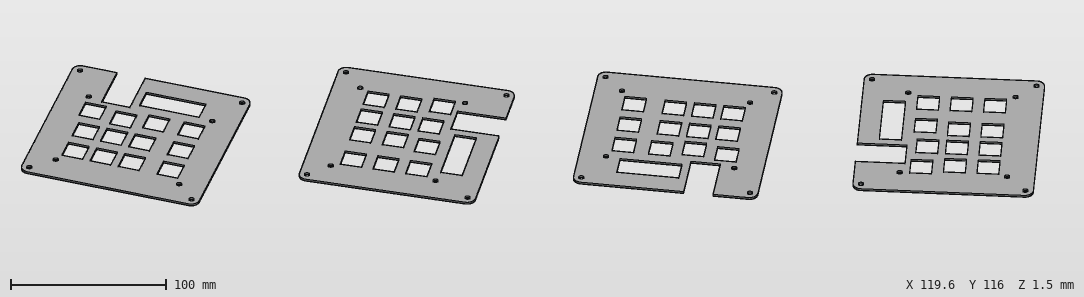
import cadquery as cq

PLATE_LENGTH = 119.6
PLATE_WIDTH = 116.0
PLATE_THICKNESS = 1.5
CORNER_RADIUS = 5.5

HOLE_DIAMETER = 3.3
CORNER_HOLE_INSET = 5.1
INNER_HOLE_LEFT_X = -40.9
INNER_HOLE_RIGHT_X = 42.2
INNER_HOLE_BACK_Y = 28.8
INNER_HOLE_FRONT_Y = -40.2

NOTCH_LEFT_X = -31.5
NOTCH_WIDTH = 19.0
NOTCH_DEPTH = 31.9

WINDOW_LENGTH = 40.2
WINDOW_WIDTH = 14.2
WINDOW_CENTER = (12.9, 37.1)

KEY_SIZE = 14.0
KEY_PITCH_X = 19.0
KEY_PITCH_Y = 21.5
KEY_GRID_CENTER_X = -12.7
KEY_SIDE_COLUMN_X = 32.4
KEY_MIDDLE_ROW_Y = -6.1
BACK_ROW_SPREAD = 21.4
BACK_ROW_DROP = 2.5

key_back_y = KEY_MIDDLE_ROW_Y + KEY_PITCH_Y
key_front_y = KEY_MIDDLE_ROW_Y - KEY_PITCH_Y


def make_plate():
    """Flat plate with rounded vertical corners."""
    plate = cq.Workplane("XY").box(
        PLATE_LENGTH, PLATE_WIDTH, PLATE_THICKNESS, centered=(True, True, False)
    )
    return plate.edges("|Z").fillet(CORNER_RADIUS)


def rectangular_cutter(centers, length, width):
    """Rectangular prisms through the plate thickness, one at each centre."""
    return cq.Workplane("XY").pushPoints(centers).rect(length, width).extrude(PLATE_THICKNESS)


def key_centers():
    """Two regular rows of keys, then the back row with its second key set lower."""
    columns = [KEY_GRID_CENTER_X + step * KEY_PITCH_X for step in (-1, 0, 1)]
    columns.append(KEY_SIDE_COLUMN_X)
    centers = [(x, y) for y in (key_front_y, KEY_MIDDLE_ROW_Y) for x in columns]
    centers += [
        (KEY_GRID_CENTER_X - BACK_ROW_SPREAD, key_back_y),
        (KEY_GRID_CENTER_X, key_back_y - BACK_ROW_DROP),
        (KEY_GRID_CENTER_X + BACK_ROW_SPREAD, key_back_y),
        (KEY_SIDE_COLUMN_X, key_back_y),
    ]
    return centers


def hole_centers():
    """Four holes near the plate corners and four around the key field."""
    corner_x = PLATE_LENGTH / 2 - CORNER_HOLE_INSET
    corner_y = PLATE_WIDTH / 2 - CORNER_HOLE_INSET
    corner = [(x, y) for x in (-corner_x, corner_x) for y in (-corner_y, corner_y)]
    inner = [
        (x, y)
        for x in (INNER_HOLE_LEFT_X, INNER_HOLE_RIGHT_X)
        for y in (INNER_HOLE_FRONT_Y, INNER_HOLE_BACK_Y)
    ]
    return corner + inner


notch_center = (NOTCH_LEFT_X + NOTCH_WIDTH / 2, PLATE_WIDTH / 2 - NOTCH_DEPTH / 2)
notch = rectangular_cutter([notch_center], NOTCH_WIDTH, NOTCH_DEPTH)
window = rectangular_cutter([WINDOW_CENTER], WINDOW_LENGTH, WINDOW_WIDTH)
keys = rectangular_cutter(key_centers(), KEY_SIZE, KEY_SIZE)
holes = (
    cq.Workplane("XY").pushPoints(hole_centers()).circle(HOLE_DIAMETER / 2).extrude(PLATE_THICKNESS)
)

result = make_plate().cut(notch).cut(window).cut(keys).cut(holes)